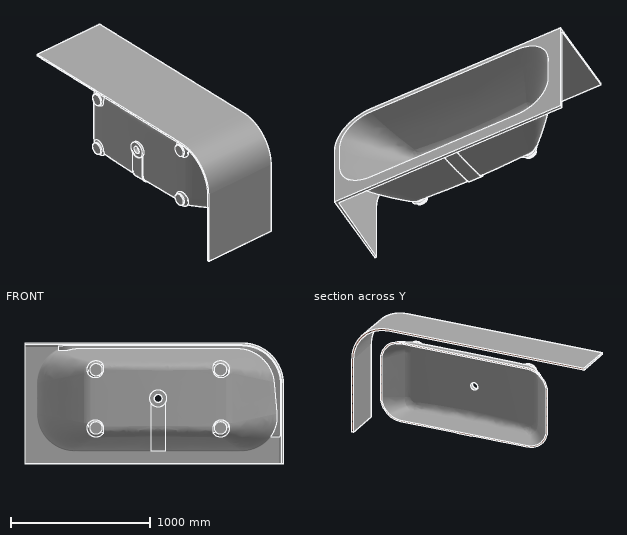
import cadquery as cq
import math


length = 1860.0
height = 870.0
depth = 600.0
corner_radius = 300.0
rim_thickness = 22.0
skirt_edge_thickness = 14.0
skirt_root_thickness = 22.0
skirt_root_fillet = 11.0

wall = 15.0
basin_middle_z = 470.0
mouth_left = 87.0
mouth_right = 1832.0
mouth_height = 755.0
mouth_radius = 270.0
foot_left = 428.0
foot_right = 1492.0
foot_height = 543.0
foot_radius = 93.0
foot_depth = 437.0
wall_bulge = 1.4
wall_stations = 6
mouth_fillet = 7.0
loft_overrun = 19.0

floor_end_depth = 452.0
floor_middle_depth = 478.0
floor_edge_fillet = 80.0

drain_x = 958.0
drain_flange_radius = 61.0
drain_hole_radius = 28.0
drain_depth = 495.0
channel_width = 105.0
channel_rise = 10.0

feet_x = (512.0, 1406.0)
feet_z = (259.0, 677.0)
pad_radius = 45.0
pad_depth = 484.0
flare_radius = 65.0
flare_start_depth = 452.0
flare_end_depth = 472.0

filler_left = 240.0
filler_depth = 130.0
filler_end_radius = 102.0
filler_bottom_z = 815.0
filler_slope_top_z = 805.0
filler_slope_bottom_z = 203.0
filler_toe_z = 192.0
filler_toe_depth = 28.0
filler_slope_left = 1525.0


def skirt_outline(inset, overrun):
    """Region under the skirt, inset from its outside and overrunning the open left and bottom sides."""
    radius = corner_radius - inset
    top = height - inset
    right = length - inset
    middle = math.sqrt(0.5) * radius
    return (
        cq.Workplane("XZ")
        .moveTo(-overrun, -overrun)
        .lineTo(-overrun, top)
        .lineTo(right - radius, top)
        .threePointArc((right - radius + middle, top - radius + middle), (right, top - radius))
        .lineTo(right, -overrun)
        .close()
    )


def make_rim_and_skirt():
    """Rim plate and skirt, the skirt drafted thicker and filleted toward the rim."""
    taper_length = depth - rim_thickness
    draft = math.degrees(math.atan((skirt_root_thickness - skirt_edge_thickness) / taper_length))
    hollow = (
        skirt_outline(skirt_root_thickness, corner_radius)
        .extrude(taper_length, taper=-draft)
        .faces(">Y")
        .edges()
        .fillet(skirt_root_fillet)
        .translate((0, -rim_thickness, 0))
    )
    return skirt_outline(0, 0).extrude(depth).cut(hollow)


def basin_section(at_depth, inset):
    """Rounded rectangle of the basin wall at one depth."""
    progress = (at_depth / foot_depth) ** wall_bulge
    left = mouth_left + (foot_left - mouth_left) * progress + inset
    right = mouth_right + (foot_right - mouth_right) * progress - inset
    tall = mouth_height + (foot_height - mouth_height) * progress - 2 * inset
    radius = mouth_radius + (foot_radius - mouth_radius) * progress - inset
    return (
        cq.Sketch()
        .rect(right - left, tall)
        .vertices()
        .fillet(radius)
        .moved(cq.Location(cq.Vector((left + right) / 2, basin_middle_z, at_depth)))
    )


def make_basin(inset):
    """Solid basin, its wall inset sideways and its floor raised by the same amount."""
    last_depth = floor_middle_depth + loft_overrun
    stations = [last_depth * i / wall_stations for i in range(wall_stations + 1)]
    sections = [basin_section(station, inset) for station in stations]
    blank = cq.Workplane("XZ").placeSketch(*sections).loft()
    end_depth = floor_end_depth - inset
    below_floor = (
        cq.Workplane("XY")
        .moveTo(0, -end_depth)
        .lineTo(foot_left, -end_depth)
        .threePointArc((drain_x, inset - floor_middle_depth), (foot_right, -end_depth))
        .lineTo(length, -end_depth)
        .lineTo(length, -depth)
        .lineTo(0, -depth)
        .close()
        .extrude(height)
    )
    return blank.cut(below_floor).faces("<Y").edges().fillet(floor_edge_fillet - inset)


def make_rim_with_basin(outer_basin):
    """Rim plate and solid basin, joined by a small fillet around the mouth."""
    plate = skirt_outline(0, 0).extrude(rim_thickness)
    joined = plate.union(outer_basin)
    plate_margin = 10.0
    half_gap = 2.0
    mouth_edges = cq.selectors.BoxSelector(
        (plate_margin, -rim_thickness - half_gap, plate_margin),
        (length - plate_margin, -rim_thickness + half_gap, height - plate_margin),
    )
    return joined.edges(mouth_edges).fillet(mouth_fillet)


def make_filler():
    """Bar along the top of the basin with a rounded left end, and a wedge running down its right side."""
    end_corner = filler_end_radius * (1 - math.sqrt(0.5))
    bar = (
        cq.Workplane("XY")
        .moveTo(filler_left, 0)
        .lineTo(filler_left, filler_end_radius - filler_depth)
        .threePointArc(
            (filler_left + end_corner, end_corner - filler_depth),
            (filler_left + filler_end_radius, -filler_depth),
        )
        .lineTo(length, -filler_depth)
        .lineTo(length, 0)
        .close()
        .extrude(height - filler_bottom_z)
        .translate((0, 0, filler_bottom_z))
    )
    wedge = (
        cq.Workplane("YZ")
        .polyline(
            [
                (0, height),
                (-filler_depth, height),
                (-filler_depth, filler_slope_top_z),
                (-filler_toe_depth, filler_slope_bottom_z),
                (-rim_thickness, filler_toe_z),
                (0, filler_toe_z),
            ]
        )
        .close()
        .extrude(length - filler_slope_left)
        .translate((filler_slope_left, 0, 0))
    )
    return bar.union(wedge).intersect(skirt_outline(skirt_edge_thickness, 0).extrude(depth))


def make_foot(x, z):
    """Round pad on a flared base."""
    pad = cq.Workplane("XZ").center(x, z).circle(pad_radius).extrude(pad_depth)
    flare = (
        cq.Workplane("XZ", origin=(x, -flare_start_depth, z))
        .circle(flare_radius)
        .workplane(offset=flare_end_depth - flare_start_depth)
        .circle(pad_radius)
        .loft()
    )
    return pad.union(flare)


def drain_cylinder(radius, cylinder_depth):
    return cq.Workplane("XZ").center(drain_x, basin_middle_z).circle(radius).extrude(cylinder_depth)


def make_drain_and_channel(outer_basin):
    """Flange around the drain, and a channel that follows the floor and wall below it."""
    flange = drain_cylinder(drain_flange_radius, drain_depth)
    strip = (
        cq.Workplane("XZ")
        .center(drain_x, basin_middle_z / 2)
        .rect(channel_width, basin_middle_z)
        .extrude(depth)
    )
    channel = outer_basin.translate((0, -channel_rise, 0)).intersect(strip)
    return flange.union(channel)


basin = make_basin(0)
result = make_rim_and_skirt().union(make_rim_with_basin(basin)).union(make_filler())
for foot_x in feet_x:
    for foot_z in feet_z:
        result = result.union(make_foot(foot_x, foot_z))
result = result.union(make_drain_and_channel(basin))

result = result.cut(make_basin(wall))
result = result.cut(drain_cylinder(drain_hole_radius, depth)).solids()